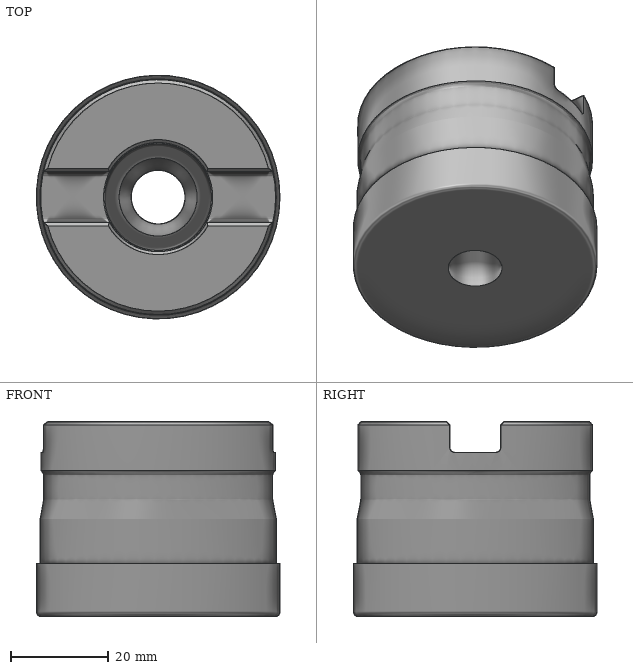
import cadquery as cq
import math

TOTAL_HEIGHT = 40.0
BASE_RADIUS = 25.0
BASE_HEIGHT = 10.9
BODY_RADIUS = 24.25
BODY_TOP = 20.0
GROOVE_RADIUS = 23.5
GROOVE_BOTTOM = 24.0
HEAD_RADIUS = 24.1
HEAD_BOTTOM = 30.0
BOTTOM_FILLET = 1.0
GROOVE_FILLET = 1.0
EDGE_CHAMFER = 0.7

SLOT_WIDTH = 10.4
SLOT_DEPTH = 6.3
SLOT_FILLET = 1.0

ENTRY_RADIUS = 11.2
ENTRY_CHAMFER_WIDTH = 0.6
ENTRY_CHAMFER_HEIGHT = 0.85
STEP_HEIGHT = 33.5
STEP_ANGLE = 30.0
STEP_FILLET = 0.75
BORE_RADIUS = 10.95
BORE_FLOOR = 16.0
BORE_FLOOR_FILLET = 0.5
COUNTERSINK_RADIUS = 8.0
HOLE_RADIUS = 5.5

EDGE_TOLERANCE = 0.01


def revolve_profile(points):
    """Revolve a closed (radius, height) outline about the Z axis."""
    return cq.Workplane("XZ").polyline(points).close().revolve(360, (0, 0), (0, 1))


def ring_edge_at(height):
    """Select the circular edge centred on the Z axis at the given height."""
    return cq.selectors.BoxSelector(
        (-EDGE_TOLERANCE, -EDGE_TOLERANCE, height - EDGE_TOLERANCE),
        (EDGE_TOLERANCE, EDGE_TOLERANCE, height + EDGE_TOLERANCE),
    )


def make_body():
    """Outer turned shape with a groove below the head."""
    groove_top = HEAD_BOTTOM - (HEAD_RADIUS - GROOVE_RADIUS)
    body = revolve_profile([
        (0, 0),
        (BASE_RADIUS, 0),
        (BASE_RADIUS, BASE_HEIGHT),
        (BODY_RADIUS, BASE_HEIGHT),
        (BODY_RADIUS, BODY_TOP),
        (GROOVE_RADIUS, GROOVE_BOTTOM),
        (GROOVE_RADIUS, groove_top),
        (HEAD_RADIUS, HEAD_BOTTOM),
        (HEAD_RADIUS, TOTAL_HEIGHT - EDGE_CHAMFER),
        (HEAD_RADIUS - EDGE_CHAMFER, TOTAL_HEIGHT),
        (0, TOTAL_HEIGHT),
    ])
    for height in (GROOVE_BOTTOM, groove_top):
        body = body.edges(ring_edge_at(height)).fillet(GROOVE_FILLET)
    return body.edges(ring_edge_at(0)).fillet(BOTTOM_FILLET)


def make_bore():
    """Chamfered entry, tapered step, counterbore, countersink and through hole."""
    step_drop = (ENTRY_RADIUS - BORE_RADIUS) / math.tan(math.radians(STEP_ANGLE))
    step_bottom = STEP_HEIGHT - step_drop
    countersink_bottom = BORE_FLOOR - (COUNTERSINK_RADIUS - HOLE_RADIUS)
    bore = revolve_profile([
        (0, 0),
        (HOLE_RADIUS, 0),
        (HOLE_RADIUS, countersink_bottom),
        (COUNTERSINK_RADIUS, BORE_FLOOR),
        (BORE_RADIUS, BORE_FLOOR),
        (BORE_RADIUS, step_bottom),
        (ENTRY_RADIUS, STEP_HEIGHT),
        (ENTRY_RADIUS, TOTAL_HEIGHT - ENTRY_CHAMFER_HEIGHT),
        (ENTRY_RADIUS + ENTRY_CHAMFER_WIDTH, TOTAL_HEIGHT),
        (0, TOTAL_HEIGHT),
    ])
    bore = bore.edges(ring_edge_at(STEP_HEIGHT)).fillet(STEP_FILLET)
    floor_rims = bore.edges(ring_edge_at(BORE_FLOOR))
    outer_rim = floor_rims.edges(cq.selectors.RadiusNthSelector(-1))
    return outer_rim.fillet(BORE_FLOOR_FILLET)


def make_slot():
    """Slot with rounded floor corners and chamfered top edges."""
    half_width = SLOT_WIDTH / 2
    floor = TOTAL_HEIGHT - SLOT_DEPTH
    profile = (
        cq.Workplane("YZ")
        .moveTo(-half_width - EDGE_CHAMFER, TOTAL_HEIGHT)
        .lineTo(-half_width, TOTAL_HEIGHT - EDGE_CHAMFER)
        .lineTo(-half_width, floor + SLOT_FILLET)
        .radiusArc((-half_width + SLOT_FILLET, floor), -SLOT_FILLET)
        .lineTo(half_width - SLOT_FILLET, floor)
        .radiusArc((half_width, floor + SLOT_FILLET), -SLOT_FILLET)
        .lineTo(half_width, TOTAL_HEIGHT - EDGE_CHAMFER)
        .lineTo(half_width + EDGE_CHAMFER, TOTAL_HEIGHT)
        .close()
    )
    return profile.extrude(BASE_RADIUS, both=True)


result = make_body().cut(make_bore()).cut(make_slot())